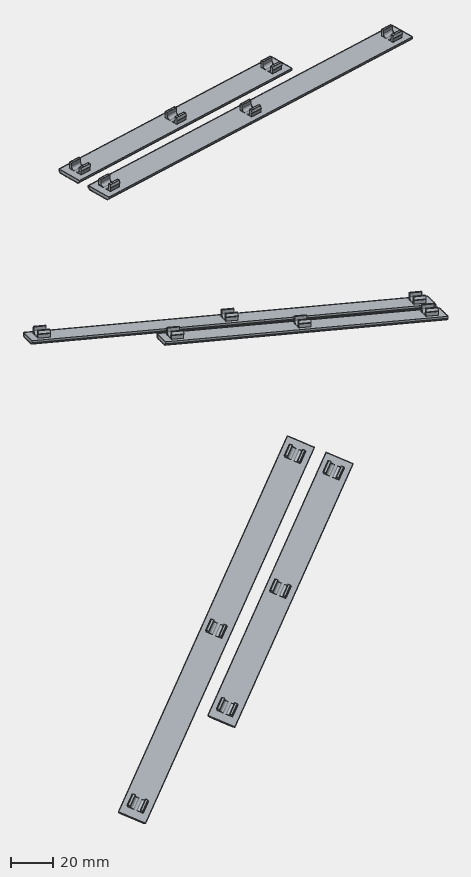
import cadquery as cq

plate_width = 14.0
plate_thickness = 2.0
plate_lengths = [140.0, 200.0]
plate_pitch = 20.0
edge_bevel = 1.0

clip_height = 3.5
clip_length = 6.0
clip_end_margin = 4.0
cradle_radius = 1.8
prong_inner = 2.5
tip_width = 1.2
tip_outer = prong_inner + tip_width
barb_lead = 0.5
barb_outer = tip_outer + barb_lead
barb_height = 2.2
undercut_height = 1.8
root_outer = 4.0


def make_plate(length):
    """Strip with its top face at Z = 0 and its -Y end at Y = 0."""
    half_width = plate_width / 2
    half_bottom = half_width - edge_bevel
    profile = [
        (-half_width, 0),
        (half_width, 0),
        (half_width, edge_bevel - plate_thickness),
        (half_bottom, -plate_thickness),
        (-half_bottom, -plate_thickness),
        (-half_width, edge_bevel - plate_thickness),
    ]
    return cq.Workplane("XZ").polyline(profile).close().extrude(-length)


def make_prong(start_y):
    """Barbed prong on the +X side of a clip, with a rounded inner root."""
    return (
        cq.Workplane("XZ", origin=(0, start_y, 0))
        .moveTo(prong_inner - cradle_radius, 0)
        .radiusArc((prong_inner, cradle_radius), -cradle_radius)
        .lineTo(prong_inner, clip_height)
        .lineTo(tip_outer, clip_height)
        .lineTo(barb_outer, barb_height)
        .lineTo(root_outer, undercut_height)
        .lineTo(root_outer, 0)
        .close()
        .extrude(-clip_length)
    )


def make_strip(length):
    """Plate with a clip near each end and one in the middle."""
    strip = make_plate(length)
    last_start = length - clip_end_margin - clip_length
    for start_y in (clip_end_margin, (length - clip_length) / 2, last_start):
        prong = make_prong(start_y)
        strip = strip.union(prong).union(prong.mirror("YZ"))
    return strip


strips = [
    make_strip(length).translate((index * plate_pitch, 0, 0))
    for index, length in enumerate(plate_lengths)
]

result = cq.Compound.makeCompound([strip.val() for strip in strips])